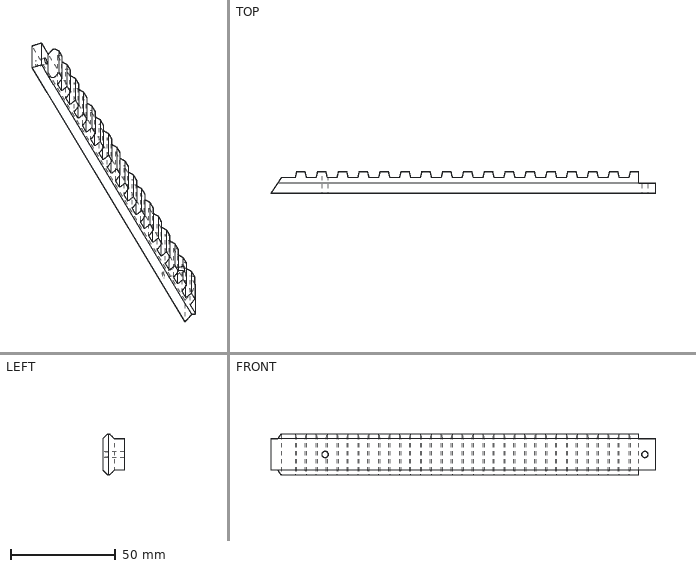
import cadquery as cq
import math

length = 184.5
thickness = 10.5
rail_width = 19.7

bar_width = 15.1
bar_thickness = 5.0
bevel = (thickness - bar_thickness) / 2
sharp_edge_z = bar_width / 2 + bevel
edge_radius = (sharp_edge_z - rail_width / 2) / (math.sqrt(2) - 1)

rail_end_x = 176.4
end_slope_run = 5.2

tooth_count = 17
first_tooth_x = 14.4
last_tooth_x = 174.4
tooth_pitch = (last_tooth_x - first_tooth_x) / (tooth_count - 1)
tooth_height = bevel
tooth_top_width = 4.0
tooth_base_width = 5.4
groove_floor_y = thickness - tooth_height

hole_diameter = 3.0
hole_x_positions = (26.0, 179.3)


def make_bar():
    """Plain rectangular bar along the full length."""
    return cq.Workplane("XY").box(length, bar_thickness, bar_width, centered=(False, False, True))


def make_rail():
    """Flared rail section with rounded side edges, shorter than the bar at the +X end."""
    profile = [
        (thickness, -bar_width / 2),
        (thickness, bar_width / 2),
        (groove_floor_y, sharp_edge_z),
        (bar_thickness, bar_width / 2),
        (bar_thickness, -bar_width / 2),
        (groove_floor_y, -sharp_edge_z),
    ]
    rail = cq.Workplane("YZ").polyline(profile).close().extrude(rail_end_x)
    return rail.edges("|X").edges("<Z or >Z").fillet(edge_radius)


def extrude_across(points):
    """Extrude an XY outline across the full width of the rail."""
    return cq.Workplane("XY").polyline(points).close().extrude(rail_width / 2, both=True)


def make_grooves():
    """Cutters for the open lead-in and for the gap before every later tooth."""
    lead_in = [
        (0, groove_floor_y),
        (first_tooth_x - tooth_base_width / 2, groove_floor_y),
        (first_tooth_x - tooth_top_width / 2, thickness),
        (0, thickness),
    ]
    grooves = extrude_across(lead_in)
    for index in range(tooth_count - 1):
        left_tooth_x = first_tooth_x + index * tooth_pitch
        right_tooth_x = left_tooth_x + tooth_pitch
        gap = [
            (left_tooth_x + tooth_base_width / 2, groove_floor_y),
            (right_tooth_x - tooth_base_width / 2, groove_floor_y),
            (right_tooth_x - tooth_top_width / 2, thickness),
            (left_tooth_x + tooth_top_width / 2, thickness),
        ]
        grooves = grooves.union(extrude_across(gap))
    return grooves


def make_end_slope():
    """Wedge that slants the -X end from the tip at Y = 0 back to the groove floor."""
    wedge = [
        (0, 0),
        (end_slope_run, groove_floor_y),
        (0, groove_floor_y),
    ]
    return extrude_across(wedge)


def make_holes():
    """Through holes on the middle plane, drilled along Y."""
    centers = [(x, 0) for x in hole_x_positions]
    return (
        cq.Workplane("XZ")
        .pushPoints(centers)
        .circle(hole_diameter / 2)
        .extrude(-thickness)
    )


result = (
    make_bar()
    .union(make_rail())
    .cut(make_grooves())
    .cut(make_end_slope())
    .cut(make_holes())
)